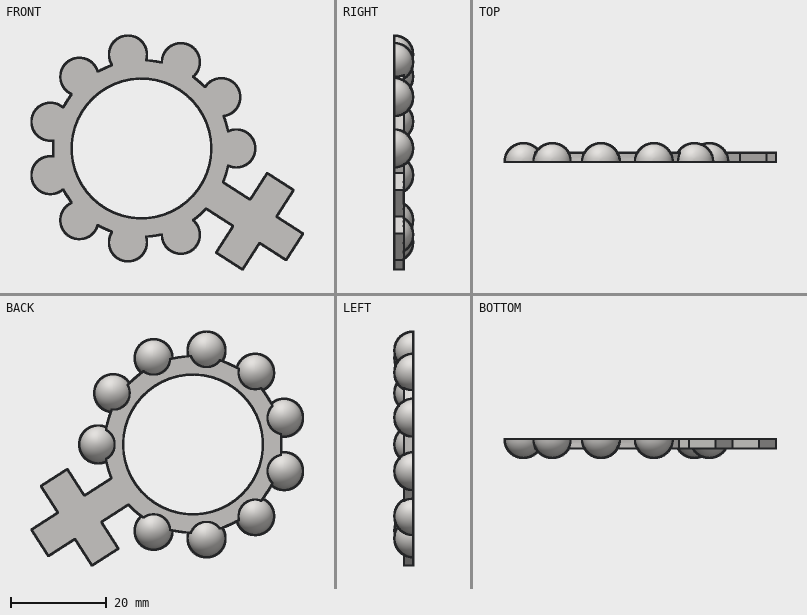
import cadquery as cq
import math

thickness = 2.0
ring_inner_radius = 14.6
ring_outer_radius = 18.5

station_count = 11
cross_station = 10
bead_radius = 4.0
bead_circle_radius = 19.85

bar_width = 6.6
crossbar_length = 3 * bar_width
crossbar_start = 24.9
cross_tip = crossbar_start + 2 * bar_width

station_angle = 360.0 / station_count
stem_start = (ring_inner_radius + ring_outer_radius) / 2


def plate(sketch):
    """Extrude an XZ sketch from Y = 0 toward +Y by the plate thickness."""
    return sketch.extrude(-thickness)


def make_ring():
    return plate(cq.Workplane("XZ").circle(ring_outer_radius).circle(ring_inner_radius))


def make_bead(station):
    """Half sphere with its flat face at Y = 0 and its dome toward +Y."""
    angle = math.radians(station * station_angle)
    x = bead_circle_radius * math.cos(angle)
    z = bead_circle_radius * math.sin(angle)
    dome = cq.Solid.makeSphere(bead_radius, cq.Vector(0, 0, 0), cq.Vector(0, 1, 0), 0, 90, 360)
    return cq.Workplane(dome.translate(cq.Vector(x, 0, z)))


def make_cross():
    """Stem and crossbar, built along +X and turned to the cross station."""
    stem_length = cross_tip - stem_start
    stem_middle = (cross_tip + stem_start) / 2
    stem = plate(cq.Workplane("XZ").center(stem_middle, 0).rect(stem_length, bar_width))
    crossbar_middle = crossbar_start + bar_width / 2
    crossbar = plate(cq.Workplane("XZ").center(crossbar_middle, 0).rect(bar_width, crossbar_length))
    return stem.union(crossbar).rotate((0, 0, 0), (0, -1, 0), cross_station * station_angle)


result = make_ring().union(make_cross())
for station in range(station_count):
    if station != cross_station:
        result = result.union(make_bead(station))